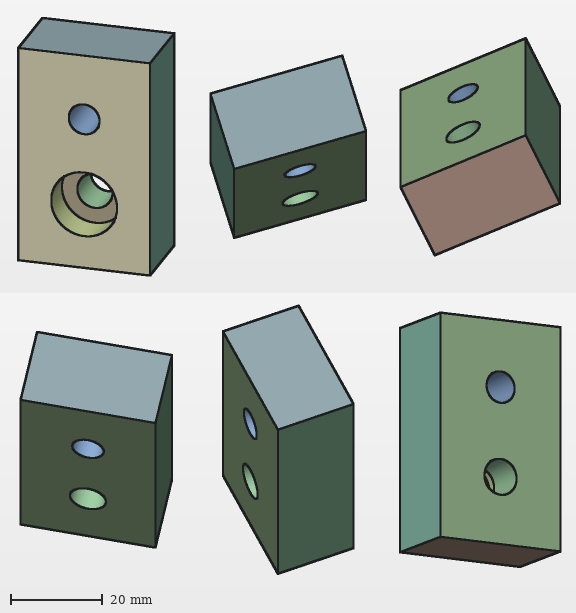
import cadquery as cq

width = 30
thickness = 18
height = 50

upper_hole_diameter = 7
upper_hole_z = 35

lower_hole_diameter = 8
lower_hole_z = 15
counterbore_diameter = 15
counterbore_depth = 8

block = cq.Workplane("XY").box(width, thickness, height, centered=(True, True, False))


def front_bore(z, diameter, depth):
    """Cylinder running from the front face into the block."""
    front_face = cq.Workplane("XZ", origin=(0, -thickness / 2, z))
    return front_face.circle(diameter / 2).extrude(-depth)


result = (
    block
    .cut(front_bore(upper_hole_z, upper_hole_diameter, thickness))
    .cut(front_bore(lower_hole_z, lower_hole_diameter, thickness))
    .cut(front_bore(lower_hole_z, counterbore_diameter, counterbore_depth))
)